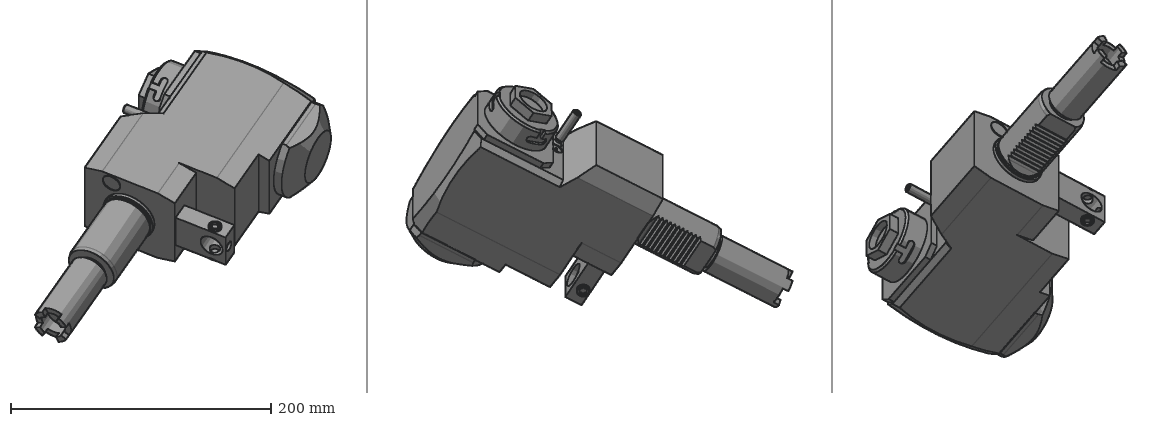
import cadquery as cq
import math


overall_length = 284.2

half_thickness = 37.5
bevelled_half_thickness = 33.8
back_y = 153.8
base_half_width = 39.2
base_flat_half_width = 24.2
head_left_x = -15.0
head_left_flat_x = -10.0
head_right_flat_x = 56.8
head_right_x = 82.0
head_bevel_angle = 15.0
head_bevel_drop = (head_right_x - head_right_flat_x) * math.tan(math.radians(head_bevel_angle))
head_front_y = 35.2
shoulder_y = 74.8
shoulder_x = 72.5
ramp_start_y = 59.5
back_corner_chamfer = 3.0
crown_radius = 133.5
crown_x = 24.0
crown_edge_setback = 4.3
recess_diameter = 15.0
recess_depth = 0.5
recess_x = -16.0
recess_z = 27.9

spindle_y = 120.0
plate_left_x = -20.2
plate_front_y = 86.7
plate_corner = 8.5
nut_left_x = -39.2
nut_radius = 27.5
nut_chamfer = 1.7
hex_left_x = -47.2
hex_across_flats = 32.0
hex_bore_diameter = 24.2
hex_bore_depth = 5.7
bayonet_count = 3
bayonet_depth = 2.8
bayonet_slot_x = -29.5
bayonet_slot_width = 5.7
bayonet_slot_length = 19.3
bayonet_entry_width = 5.0

cap_radius = 38.0
cap_end_radius = 21.5
cap_root_x = head_right_x - back_corner_chamfer
cap_cone_x = 88.7
cap_right_x = 100.3
cap_back_y = 150.7
cap_flat_half_thickness = 29.5
cap_slope_x = 85.3
cap_slope_angle = 13.0

pin_y = 80.5
pin_z = 18.0
pin_left_x = -47.0
pin_right_x = -19.3
pin_diameter = 7.0
pin_chamfer = 0.9
pin_neck_diameter = 4.8
pin_flare_diameter = 8.5
pin_flare_length = 2.0
pin_bore_diameter = 3.5
pin_bore_depth = 2.8
plug_diameter = 9.7
plug_z = 10.0
plug_depth = 0.5
plug_centre_diameter = 2.0
plug_centre_depth = 1.5

flange_radius = 21.5
flange_length = 2.8
shank_radius = 20.5
relief_radius = 20.0
relief_end_y = -4.8
shank_end_y = -63.5
shank_chamfer_length = 3.0
shank_chamfer_depth = 0.9
neck_radius = 12.5
tail_radius = 15.3
tail_start_y = -66.8
claw_root_y = -125.5
claw_end_y = back_y - overall_length
claw_bore_radius = 10.2
claw_bore_depth = 14.2
claw_count = 4
claw_gap_angle = 55.0
rack_flat_z = -16.0
rack_start_y = -8.5
tooth_depth = 1.7
tooth_pitch = 3.7
tooth_count = 11

arm_right_x = 82.7
arm_front_y = 1.0
arm_back_y = 15.5
arm_half_thickness = 16.0
arm_hole_x = 70.5
arm_hole_diameter = 19.0
screw_y = 6.8
screw_diameter = 10.2
screw_height = 2.0
screw_chamfer = 0.9
socket_across_flats = 5.7
socket_depth = 2.5
cross_hole_diameter = 8.0
cross_hole_end_z = 14.0


def box_between(x_range, y_range, z_range):
    """Axis-aligned box given its limits on each axis."""
    lengths = [high - low for low, high in (x_range, y_range, z_range)]
    corner = (x_range[0], y_range[0], z_range[0])
    return cq.Workplane("XY").box(*lengths, centered=False).translate(corner)


def x_cylinder(diameter, start_x, end_x, y, z):
    """Cylinder along X."""
    return cq.Workplane("YZ", origin=(start_x, y, z)).circle(diameter / 2).extrude(end_x - start_x)


def y_block(upper_profile, start_y, end_y):
    """Block along Y whose XZ section is the given upper edge mirrored about Z = 0."""
    lower_profile = [(x, -z) for x, z in reversed(upper_profile)]
    section = cq.Workplane("XZ", origin=(0, start_y, 0)).polyline(upper_profile + lower_profile).close()
    return section.extrude(start_y - end_y)


def make_housing():
    base = y_block(
        [
            (-base_half_width, bevelled_half_thickness),
            (-base_flat_half_width, half_thickness),
            (base_flat_half_width, half_thickness),
            (base_half_width, bevelled_half_thickness),
        ],
        0,
        shoulder_y,
    )
    head = y_block(
        [
            (head_left_x, bevelled_half_thickness),
            (head_left_flat_x, half_thickness),
            (head_right_flat_x, half_thickness),
            (head_right_x, half_thickness - head_bevel_drop),
        ],
        head_front_y,
        back_y,
    )
    head = head.edges("|Z and >X and >Y").chamfer(back_corner_chamfer)
    ramp = (
        cq.Workplane("XY", origin=(0, 0, -half_thickness))
        .moveTo(-base_half_width, ramp_start_y)
        .lineTo(head_left_flat_x, shoulder_y)
        .lineTo(-base_half_width, shoulder_y)
        .close()
        .extrude(2 * half_thickness)
    )
    shoulder = box_between(
        (shoulder_x, head_right_x), (head_front_y, shoulder_y), (-half_thickness, half_thickness)
    )
    recess = (
        cq.Workplane("XZ", origin=(recess_x, 0, recess_z)).circle(recess_diameter / 2).extrude(-recess_depth)
    )
    return base.union(head).cut(ramp).cut(shoulder).intersect(make_crown()).cut(recess)


def make_crown():
    """Double 45 degree cone about a vertical axis, which trims the back edges of the housing."""
    mid_radius = crown_radius + half_thickness
    return (
        cq.Workplane("XZ")
        .moveTo(0, -half_thickness)
        .lineTo(crown_radius, -half_thickness)
        .lineTo(mid_radius, 0)
        .lineTo(crown_radius, half_thickness)
        .lineTo(0, half_thickness)
        .close()
        .revolve()
        .translate((crown_x, back_y - crown_edge_setback - crown_radius, 0))
    )


def make_spindle():
    plate = box_between(
        (plate_left_x, head_left_x),
        (plate_front_y, back_y),
        (-bevelled_half_thickness, bevelled_half_thickness),
    )
    plate = plate.edges("|X").chamfer(plate_corner)
    nut = x_cylinder(2 * nut_radius, nut_left_x, plate_left_x, spindle_y, 0).faces("<X").chamfer(nut_chamfer)
    for index in range(bayonet_count):
        nut = nut.cut(make_bayonet(index * 360 / bayonet_count))
    hexagon = (
        cq.Workplane("YZ", origin=(hex_left_x, spindle_y, 0))
        .polygon(6, hex_across_flats, circumscribed=True)
        .extrude(nut_left_x - hex_left_x)
    )
    bore = x_cylinder(hex_bore_diameter, hex_left_x, hex_left_x + hex_bore_depth, spindle_y, 0)
    return plate.union(nut).union(hexagon).cut(bore)


def make_bayonet(angle):
    """T-shaped slot in the nut, turned about the spindle axis from the +Y side."""
    floor_y = spindle_y + nut_radius - bayonet_depth
    cross_slot = (
        cq.Workplane("XZ", origin=(bayonet_slot_x, floor_y, 0))
        .slot2D(bayonet_slot_length, bayonet_slot_width, 90)
        .extrude(-2 * bayonet_depth)
    )
    entry = box_between(
        (nut_left_x, bayonet_slot_x),
        (floor_y, floor_y + 2 * bayonet_depth),
        (-bayonet_entry_width / 2, bayonet_entry_width / 2),
    )
    return cross_slot.union(entry).rotate((0, spindle_y, 0), (1, spindle_y, 0), angle)


def make_cap():
    turned = (
        cq.Workplane("XY")
        .moveTo(cap_root_x, 0)
        .lineTo(cap_root_x, cap_radius)
        .lineTo(cap_cone_x, cap_radius)
        .lineTo(cap_right_x, cap_end_radius)
        .lineTo(cap_right_x, 0)
        .close()
        .revolve(360, (0, 0), (1, 0))
        .translate((0, spindle_y, 0))
    )
    slope_drop = (cap_right_x - cap_slope_x) * math.tan(math.radians(cap_slope_angle))
    envelope = y_block(
        [
            (cap_root_x, cap_flat_half_thickness),
            (cap_slope_x, cap_flat_half_thickness),
            (cap_right_x, cap_flat_half_thickness - slope_drop),
        ],
        spindle_y - cap_radius,
        cap_back_y,
    )
    return turned.intersect(envelope)


def make_pin():
    body = x_cylinder(pin_diameter, pin_left_x, pin_right_x, pin_y, pin_z).faces("<X").chamfer(pin_chamfer)
    neck = x_cylinder(pin_neck_diameter, pin_right_x, head_left_flat_x, pin_y, pin_z)
    flare = (
        cq.Workplane("YZ", origin=(head_left_x, pin_y, pin_z))
        .circle(pin_flare_diameter / 2)
        .workplane(offset=-pin_flare_length)
        .circle(pin_neck_diameter / 2)
        .loft()
    )
    bore = x_cylinder(pin_bore_diameter, pin_left_x, pin_left_x + pin_bore_depth, pin_y, pin_z)
    return body.union(neck).union(flare).cut(bore)


def make_plug_recess():
    """Shallow round recess beside the pin, with a small centre mark in its floor."""
    seat = x_cylinder(plug_diameter, head_left_x, head_left_x + plug_depth, pin_y, plug_z)
    centre = x_cylinder(plug_centre_diameter, head_left_x, head_left_x + plug_centre_depth, pin_y, plug_z)
    return seat.union(centre)


def make_shank():
    shank = (
        cq.Workplane("XY")
        .moveTo(0, 0)
        .lineTo(flange_radius, 0)
        .lineTo(flange_radius, -flange_length)
        .lineTo(relief_radius, -flange_length)
        .lineTo(relief_radius, relief_end_y)
        .lineTo(shank_radius, relief_end_y)
        .lineTo(shank_radius, shank_end_y + shank_chamfer_length)
        .lineTo(shank_radius - shank_chamfer_depth, shank_end_y)
        .lineTo(neck_radius, shank_end_y)
        .lineTo(neck_radius, tail_start_y)
        .lineTo(tail_radius, tail_start_y)
        .lineTo(tail_radius, claw_end_y)
        .lineTo(0, claw_end_y)
        .close()
        .revolve(360, (0, 0), (0, 1))
    )
    bore = (
        cq.Workplane("XZ", origin=(0, claw_end_y, 0)).circle(claw_bore_radius).extrude(-claw_bore_depth)
    )
    shank = shank.cut(bore).cut(make_rack_cutter())
    for index in range(claw_count):
        shank = shank.cut(make_claw_gap(index * 360 / claw_count))
    return shank


def make_claw_gap(angle):
    """Radial gap between two claws, centred on +X before it is turned."""
    reach = 2 * tail_radius
    half_opening = reach * math.tan(math.radians(claw_gap_angle / 2))
    return (
        cq.Workplane("XZ", origin=(0, claw_end_y, 0))
        .polyline([(0, 0), (reach, half_opening), (reach, -half_opening)])
        .close()
        .extrude(claw_end_y - claw_root_y)
        .rotate((0, 0, 0), (0, 1, 0), angle)
    )


def make_rack_cutter():
    """Flat with a 45 degree run-out under the shank, with V notches that form the clamping teeth."""
    run_out_start_y = rack_start_y + flange_radius + rack_flat_z
    points = [(run_out_start_y, -flange_radius), (rack_start_y, rack_flat_z)]
    for index in range(tooth_count):
        notch_start_y = rack_start_y - index * tooth_pitch
        points.append((notch_start_y - tooth_pitch / 2, rack_flat_z + tooth_depth))
        points.append((notch_start_y - tooth_pitch, rack_flat_z))
    points += [(shank_end_y, rack_flat_z), (shank_end_y, -flange_radius)]
    return cq.Workplane("YZ").polyline(points).close().extrude(shank_radius, both=True)


def make_arm():
    arm = box_between(
        (base_flat_half_width, arm_right_x),
        (arm_front_y, arm_back_y),
        (-arm_half_thickness, arm_half_thickness),
    )
    head_z = arm_half_thickness + screw_height
    screws = (
        cq.Workplane("XY", origin=(arm_hole_x, screw_y, -head_z))
        .circle(screw_diameter / 2)
        .extrude(2 * head_z)
        .faces("|Z")
        .chamfer(screw_chamfer)
    )
    socket = (
        cq.Workplane("XY", origin=(arm_hole_x, screw_y, head_z))
        .polygon(6, socket_across_flats, circumscribed=True)
        .extrude(-socket_depth)
    )
    sockets = socket.union(socket.mirror("XY"))
    cross_hole = (
        cq.Workplane("XY", origin=(arm_hole_x, screw_y, 0))
        .circle(cross_hole_diameter / 2)
        .extrude(cross_hole_end_z, both=True)
    )
    hole = (
        cq.Workplane("XZ", origin=(arm_hole_x, arm_front_y, 0))
        .circle(arm_hole_diameter / 2)
        .extrude(arm_front_y - arm_back_y)
    )
    end_hole = x_cylinder(cross_hole_diameter, arm_hole_x, arm_right_x, screw_y, 0)
    return arm.union(screws).cut(sockets).cut(cross_hole).cut(hole).cut(end_hole)


result = (
    make_housing()
    .cut(make_plug_recess())
    .union(make_spindle())
    .union(make_cap())
    .union(make_pin())
    .union(make_shank())
    .union(make_arm())
)